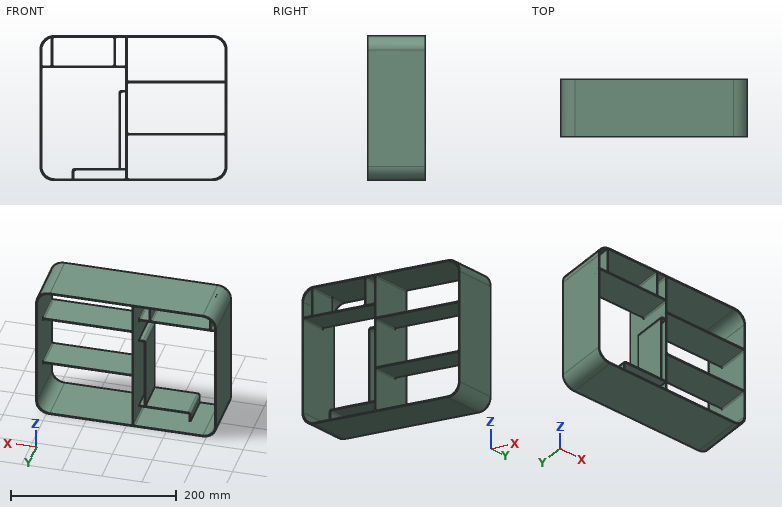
import cadquery as cq

width = 225.3
depth = 69.8
height = 174.5
corner_radius = 17.1
wall = 1.5
cell_fillet = 1.5

divider_x = -8.3
left_shelf_z = 49.8
left_partition_x = -98.2
right_partition_x = -22.8
right_shelf_z = 31.5

insert_depth = 43.7

insert_radius = 3.4
ledge_left_x = -73.7
ledge_top_z = -73.2
channel_left_x = -17.3
channel_top_z = 21.0

front_y = -depth / 2
inner_x = width / 2 - wall
inner_z = height / 2 - wall
half_wall = wall / 2


def box_between(left, right, bottom, top, length):
    """Box spanning the given X and Z limits, running back from the front face."""
    return cq.Workplane("XY").box(
        right - left, length, top - bottom, centered=False
    ).translate((left, front_y, bottom))


def rounded_block(half_width, half_height, radius):
    block = box_between(-half_width, half_width, -half_height, half_height, depth)
    return block.edges("|Y").fillet(radius)


def make_cell(left, right, bottom, top):
    """Through opening with small corner fillets, kept inside the frame wall."""
    cell = box_between(left, right, bottom, top, depth).edges("|Y").fillet(cell_fillet)
    return cell.intersect(rounded_block(inner_x, inner_z, corner_radius - wall))


def make_channel(left, top, bottom):
    """Thin walls to the left and above, rounded where they meet, closed by the divider."""
    right = divider_x
    outer = box_between(left, right, bottom, top, insert_depth)
    outer = outer.edges("|Y and <X and >Z").fillet(insert_radius)
    inner = box_between(left + wall, right, bottom, top - wall, insert_depth)
    inner = inner.edges("|Y and <X and >Z").fillet(insert_radius - wall)
    return outer.cut(inner)


def make_rear_bay(left, right):
    """Full-height opening behind the shelves on one side of the divider."""
    bay = make_cell(left, right, -inner_z, inner_z)
    behind_shelves = box_between(
        -width / 2, width / 2, -height / 2, height / 2, depth - insert_depth
    ).translate((0, insert_depth, 0))
    return bay.intersect(behind_shelves)


result = rounded_block(width / 2, height / 2, corner_radius)

divider_left = divider_x - half_wall
divider_right = divider_x + half_wall
upper_left_bottom = left_shelf_z + half_wall
cells = [
    (-inner_x, left_partition_x - half_wall, upper_left_bottom, inner_z),
    (left_partition_x + half_wall, right_partition_x - half_wall, upper_left_bottom, inner_z),
    (right_partition_x + half_wall, divider_left, upper_left_bottom, inner_z),
    (-inner_x, divider_left, -inner_z, left_shelf_z - half_wall),
    (divider_right, inner_x, right_shelf_z + half_wall, inner_z),
    (divider_right, inner_x, half_wall - right_shelf_z, right_shelf_z - half_wall),
    (divider_right, inner_x, -inner_z, -right_shelf_z - half_wall),
]
for limits in cells:
    result = result.cut(make_cell(*limits))

result = result.cut(make_rear_bay(-inner_x, divider_left))
result = result.cut(make_rear_bay(divider_right, inner_x))

floor_overlap = half_wall
result = result.union(make_channel(ledge_left_x, ledge_top_z, -inner_z - floor_overlap))
result = result.union(make_channel(channel_left_x, channel_top_z, ledge_top_z - half_wall))